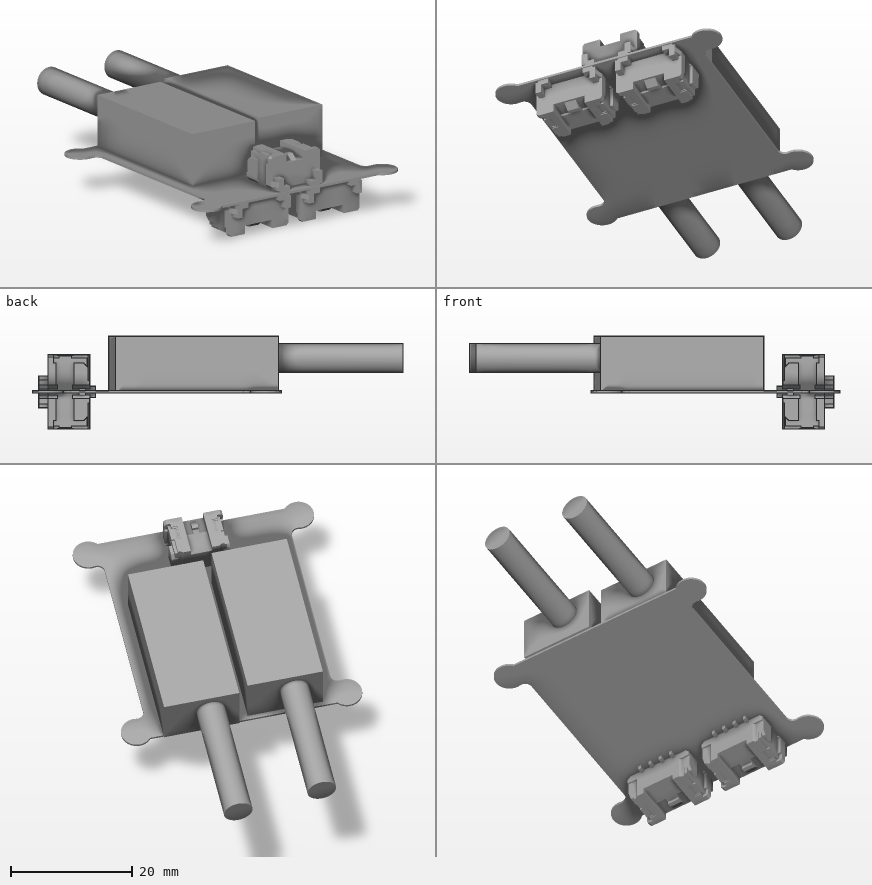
import cadquery as cq

BOARD_LENGTH = 39.3
BOARD_WIDTH = 31.6
BOARD_THICKNESS = 0.4
EAR_RADIUS = 2.55
EAR_SPAN_X = 41.05
EAR_SPAN_Y = 40.6
EAR_FILLET = 1.2

MODULE_LENGTH = 26.9
MODULE_WIDTH = 12.7
MODULE_HEIGHT = 9.0
MODULE_PLACES = [(-20.05, 7.2), (-18.95, -7.15)]
CABLE_DIAMETER = 4.8
CABLE_LENGTH = 20.5
CABLE_OFFSET_Y = -1.5
CABLE_HEIGHT = 5.4

CONNECTOR_X = 11.05
CONNECTOR_LENGTH = 6.9
CONNECTOR_HEIGHT = 5.9
BODY_CLEARANCE = 0.3
PIN_PITCH = 2.0
END_MARGIN = 2.4
TOP_CONNECTOR_PINS = 3
TOP_CONNECTOR_Y = 0.2
BOTTOM_CONNECTOR_PINS = 4
BOTTOM_CONNECTOR_Y = [7.2, -7.2]

LEAD_OVERHANG = 1.0
LEAD_LENGTH = 1.7
LEAD_WIDTH = 0.55
LEAD_HEIGHT = 0.75

STANDOFF_START = 1.8
STANDOFF_WIDTH = 0.5

FLANK_DEPTH = 0.55
FLANK_FOOT_TOP = 0.9
FLANK_TOP = 4.5
FRONT_FOOT_LENGTH = 2.8
FRONT_BOSS_LENGTH = 2.6
FRONT_BOSS_CHAMFER = 0.7
REAR_FOOT_LENGTH = 1.6
REAR_BOSS_LENGTH = 1.35
REAR_PILLAR_LENGTH = 0.9
PILLAR_CHAMFER = 0.35

RECESS_DEPTH = 0.3
RECESS_BOTTOM = 1.65
RECESS_WIDTH = 1.9
RECESS_SLOPE = 0.4

RABBET_WIDTH = 0.5
RABBET_DEPTH = 0.55
NOTCH_DEPTH = 0.1
NOTCH_BOTTOM = 3.5
POCKET_START = 3.0
POCKET_LENGTH = 2.1
POCKET_WIDTH = 1.3
POCKET_DEPTH = 0.25
POCKET_RIM = 0.25
POCKET_RIM_DEPTH = 0.1

CHANNEL_DEPTH = 1.1
CHANNEL_MARGIN = 1.6
CHANNEL_STEP_START = 3.9
CHANNEL_STEP_DEPTH = 0.35
LATCH_START = 4.65
LATCH_FLAT_LENGTH = 0.75
LATCH_END = 6.55
LATCH_HEIGHT = 0.55

TAB_LENGTH = 1.5
POST_WIDTH = 1.05
POST_HEIGHT = 2.45
TAB_WIDTH = 2.25
TAB_HEIGHT = 0.9
WEDGE_TOP = 1.8


def box(x_range, y_range, z_range):
    """Axis-aligned box between the given limits."""
    size = [high - low for low, high in (x_range, y_range, z_range)]
    corner = (x_range[0], y_range[0], z_range[0])
    return cq.Workplane("XY").box(*size, centered=False).translate(corner)


def both_sides(shape):
    """A shape together with its mirror image across the local XZ plane."""
    return shape.union(shape.mirror("XZ"))


def make_board():
    """Thin board with a round ear at each corner, filleted into the long edges."""
    ear_x = EAR_SPAN_X / 2 - EAR_RADIUS
    ear_y = EAR_SPAN_Y / 2 - EAR_RADIUS
    edge_y = BOARD_WIDTH / 2
    fillet_y = edge_y + EAR_FILLET
    centre_distance = EAR_RADIUS + EAR_FILLET
    rise = ear_y - fillet_y
    run = (centre_distance**2 - rise**2) ** 0.5
    fillet_x = ear_x - run
    touch_x = ear_x - run * EAR_RADIUS / centre_distance
    touch_y = ear_y - rise * EAR_RADIUS / centre_distance

    web = (
        cq.Workplane("XY")
        .moveTo(fillet_x, edge_y)
        .radiusArc((touch_x, touch_y), -EAR_FILLET)
        .lineTo(ear_x, ear_y)
        .lineTo(ear_x, edge_y)
        .close()
        .extrude(BOARD_THICKNESS)
    )
    ear = cq.Workplane("XY").center(ear_x, ear_y).circle(EAR_RADIUS).extrude(BOARD_THICKNESS)
    corner = ear.union(web)
    corner_pair = both_sides(corner)
    plate = cq.Workplane("XY").rect(BOARD_LENGTH, BOARD_WIDTH).extrude(BOARD_THICKNESS)
    return plate.union(corner_pair).union(corner_pair.mirror("YZ"))


def make_module(face_x, middle_y):
    """Rectangular module standing on the board."""
    return box(
        (face_x, face_x + MODULE_LENGTH),
        (middle_y - MODULE_WIDTH / 2, middle_y + MODULE_WIDTH / 2),
        (BOARD_THICKNESS, BOARD_THICKNESS + MODULE_HEIGHT),
    )


def make_cable(face_x, middle_y):
    """Round cable stub ending on the module face."""
    axis_point = (face_x, middle_y + CABLE_OFFSET_Y, BOARD_THICKNESS + CABLE_HEIGHT)
    return cq.Workplane("YZ", origin=axis_point).circle(CABLE_DIAMETER / 2).extrude(-CABLE_LENGTH)


def make_flank(wall_y):
    """Bosses on the +Y side wall: a low one in front, a full-height pillar behind."""
    inside = wall_y - FLANK_DEPTH
    outside = wall_y + FLANK_DEPTH
    end = CONNECTOR_LENGTH
    y_range = (inside, outside)
    boss_range = (FLANK_FOOT_TOP, FLANK_TOP)

    def foot(start, length):
        profile = [
            (inside, BODY_CLEARANCE),
            (wall_y, BODY_CLEARANCE),
            (outside, FLANK_FOOT_TOP),
            (inside, FLANK_FOOT_TOP),
        ]
        return cq.Workplane("YZ", origin=(start, 0, 0)).polyline(profile).close().extrude(length)

    front_boss = (
        box((0, FRONT_BOSS_LENGTH), y_range, boss_range)
        .cut(box((0, RECESS_DEPTH), y_range, (RECESS_BOTTOM, FLANK_TOP)))
        .edges(cq.selectors.NearestToPointSelector((RECESS_DEPTH, wall_y, FLANK_TOP)))
        .chamfer(FRONT_BOSS_CHAMFER)
    )
    rear_boss = box((end - REAR_BOSS_LENGTH, end), y_range, boss_range)
    pillar = (
        box((end - REAR_PILLAR_LENGTH, end), y_range, (FLANK_FOOT_TOP, CONNECTOR_HEIGHT))
        .edges(">Y and >Z")
        .chamfer(PILLAR_CHAMFER)
    )
    return (
        foot(0, FRONT_FOOT_LENGTH)
        .union(foot(end - REAR_FOOT_LENGTH, REAR_FOOT_LENGTH))
        .union(front_boss)
        .union(rear_boss)
        .union(pillar)
    )


def make_solder_tab(wall_y):
    """Stepped solder tab behind the housing on the +Y side, with a tapered outer wedge."""
    start = CONNECTOR_LENGTH
    end = start + TAB_LENGTH
    inner_y = wall_y - TAB_WIDTH
    foot = box((start, end), (inner_y, wall_y - STANDOFF_WIDTH), (0, BODY_CLEARANCE))
    low_tab = box((start, end), (inner_y, wall_y), (BODY_CLEARANCE, TAB_HEIGHT))
    post = box((start, end), (wall_y - POST_WIDTH, wall_y), (BODY_CLEARANCE, POST_HEIGHT))
    wedge_outline = [
        (start, wall_y),
        (start, wall_y + FLANK_DEPTH),
        (end, wall_y),
    ]
    wedge = (
        cq.Workplane("XY", origin=(0, 0, TAB_HEIGHT))
        .polyline(wedge_outline)
        .close()
        .extrude(WEDGE_TOP - TAB_HEIGHT)
    )
    return foot.union(low_tab).union(post).union(wedge)


def make_side_cuts(wall_y):
    """Corner recess with its notch, top rabbet and top pocket on the +Y side."""
    top = CONNECTOR_HEIGHT
    recess_inner = wall_y + FLANK_DEPTH - RECESS_WIDTH
    recess_outline = [
        (0, recess_inner),
        (RECESS_DEPTH, recess_inner + RECESS_SLOPE),
        (RECESS_DEPTH, wall_y),
        (0, wall_y),
    ]
    recess = (
        cq.Workplane("XY", origin=(0, 0, RECESS_BOTTOM))
        .polyline(recess_outline)
        .close()
        .extrude(top - RECESS_BOTTOM)
    )
    rabbet_range = ((wall_y - RABBET_WIDTH, wall_y), (top - RABBET_DEPTH, top))
    notch = box(
        (RECESS_DEPTH, RECESS_DEPTH + NOTCH_DEPTH), (wall_y - RABBET_WIDTH, wall_y), (NOTCH_BOTTOM, top)
    )
    pocket_end = POCKET_START + POCKET_LENGTH
    front_rabbet = box((0, POCKET_START), *rabbet_range)
    rear_rabbet = box((pocket_end, CONNECTOR_LENGTH - REAR_PILLAR_LENGTH), *rabbet_range)
    pocket = box((POCKET_START, pocket_end), (wall_y - POCKET_WIDTH, wall_y), (top - POCKET_DEPTH, top))
    rim = box(
        (POCKET_START - POCKET_RIM, pocket_end + POCKET_RIM),
        (wall_y - POCKET_WIDTH - POCKET_RIM, wall_y),
        (top - POCKET_RIM_DEPTH, top),
    )
    return recess.union(notch).union(front_rabbet).union(rear_rabbet).union(pocket).union(rim)


def make_channel(pins):
    """Lengthwise channel cut into the top, leaving a tongue with a latch bump."""
    spread = PIN_PITCH * (pins - 2)
    half_channel = (CHANNEL_MARGIN + spread) / 2
    half_tongue = spread / 4
    floor = CONNECTOR_HEIGHT - CHANNEL_DEPTH
    y_range = (-half_channel, half_channel)
    channel = box((0, CONNECTOR_LENGTH), y_range, (floor, CONNECTOR_HEIGHT))
    lower_step = box(
        (CHANNEL_STEP_START, CONNECTOR_LENGTH), y_range, (floor - CHANNEL_STEP_DEPTH, floor)
    )
    latch_profile = [
        (CHANNEL_STEP_START, floor - CHANNEL_STEP_DEPTH),
        (CHANNEL_STEP_START, floor),
        (LATCH_START, floor),
        (LATCH_START, floor + LATCH_HEIGHT),
        (LATCH_START + LATCH_FLAT_LENGTH, floor + LATCH_HEIGHT),
        (LATCH_END, floor - CHANNEL_STEP_DEPTH),
    ]
    tongue = cq.Workplane("XZ").polyline(latch_profile).close().extrude(half_tongue, both=True)
    return channel.union(lower_step).cut(tongue)


def make_leads(pins):
    """Row of flat leads under the lead face."""
    leads = cq.Workplane("XY")
    for index in range(pins):
        middle_y = (index - (pins - 1) / 2) * PIN_PITCH
        lead = box(
            (-LEAD_OVERHANG, LEAD_LENGTH - LEAD_OVERHANG),
            (middle_y - LEAD_WIDTH / 2, middle_y + LEAD_WIDTH / 2),
            (0, LEAD_HEIGHT),
        )
        leads = leads.add(lead)
    return leads.combine()


def make_connector(pins):
    """Surface-mount connector in its local frame, standing on Z = 0."""
    wall_y = PIN_PITCH * (pins - 1) / 2 + END_MARGIN
    core = box((0, CONNECTOR_LENGTH), (-wall_y, wall_y), (BODY_CLEARANCE, CONNECTOR_HEIGHT))
    standoff = box(
        (STANDOFF_START, CONNECTOR_LENGTH), (wall_y - STANDOFF_WIDTH, wall_y), (0, BODY_CLEARANCE)
    )
    side_parts = standoff.union(make_flank(wall_y)).union(make_solder_tab(wall_y))
    return (
        core.cut(both_sides(make_side_cuts(wall_y)))
        .cut(make_channel(pins))
        .union(both_sides(side_parts))
        .union(make_leads(pins))
    )


board = make_board()
modules = [make_module(*place) for place in MODULE_PLACES]
cables = [make_cable(*place) for place in MODULE_PLACES]
top_connector = make_connector(TOP_CONNECTOR_PINS).translate(
    (CONNECTOR_X, TOP_CONNECTOR_Y, BOARD_THICKNESS)
)
hanging_connector = make_connector(BOTTOM_CONNECTOR_PINS).rotate((0, 0, 0), (1, 0, 0), 180)
bottom_connectors = [hanging_connector.translate((CONNECTOR_X, y, 0)) for y in BOTTOM_CONNECTOR_Y]

bodies = [board, *modules, *cables, top_connector, *bottom_connectors]
result = cq.Compound.makeCompound([body.solids().val() for body in bodies])